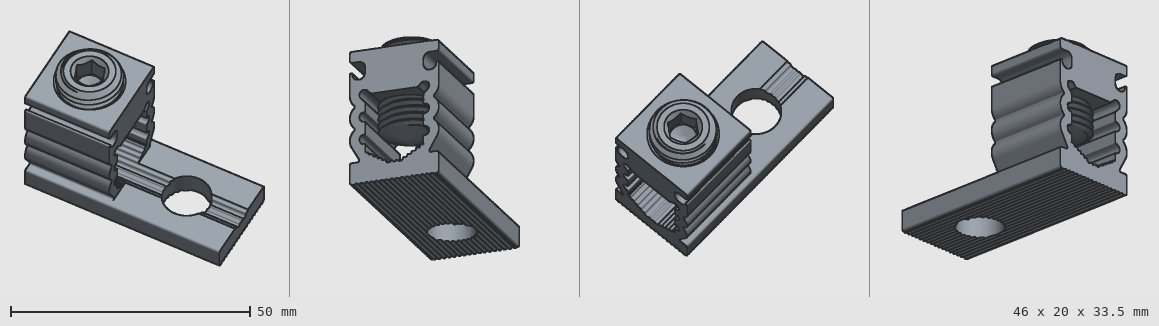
import cadquery as cq
import math

length = 46.0
body_length = 20.0
width = 20.0
half_width = width / 2
base_top = 5.0
body_top = 30.0
corner_radius = 0.5

sole_ridges = 17
sole_ridge_span = 18.12
tooth_pitch = sole_ridge_span / (sole_ridges - 1)
half_pitch = tooth_pitch / 2
tooth_rise = 0.155
sole_level = tooth_rise

bump_spacing = 5.0
lowest_bump_z = 10.0
bump_heights = [lowest_bump_z + i * bump_spacing for i in range(3)]
bump_radius = 3.0
bump_center_y = half_width - bump_radius
valley_radius = 0.4
undercut_angle = math.radians(30)
undercut_radius = 0.35

flange_bottom = 27.5
slot_wall_y = 6.55
slot_radius = 1.45
slot_floor_center_z = 25.0
lip_top = 25.15
lip_radius = 0.3

tunnel_half_width = slot_wall_y
tunnel_ceiling = bump_heights[2]
pocket_radius = 1.05
pocket_center_y = 6.75
groove_bottom = 4.0
floor_level = groove_bottom + tooth_rise
floor_slope = math.radians(30)
slope_start_y = 1.9
slope_start_z = 4.4
slope_half_waves = 9
wide_groove_flat_end_y = 1.35

mounting_hole_x = 33.0
mounting_hole_diameter = 10.5

screw_x = body_length / 2
screw_top = 33.45
thread_radius = 7.1
core_radius = 5.95
ten_turns = 15.0
thread_pitch = ten_turns / 10
thread_flank_angle = math.radians(30)
thread_crest_z = 31.35
thread_root_overlap = 0.07
screw_end_radius = 5.47
screw_end_angle = math.radians(31)
tip_z = 11.35
tip_angle = math.radians(20)
countersink_radius = 7.55

hex_across_flats = 5.95
hex_rotation = -10
socket_depth = 5.0
socket_mouth_radius = 4.0
socket_mouth_angle = math.radians(45)
socket_drill_radius = 2.9
socket_cone_depth = 1.4


def mirrored(solid):
    """Join a half body on the +Y side with its mirror image."""
    return solid.union(solid.mirror("XZ"))


def wave(path, start, angle, count, first_side):
    """Add alternating round ridges and grooves, each half a pitch long; returns the path and its end.

    first_side is +1 when the first arc bulges to the left of the direction of travel, else -1.
    """
    y, z = start
    along = (math.cos(angle), math.sin(angle))
    side = first_side
    for _ in range(count):
        mid = (
            y + along[0] * half_pitch / 2 - along[1] * tooth_rise * side,
            z + along[1] * half_pitch / 2 + along[0] * tooth_rise * side,
        )
        y += along[0] * half_pitch
        z += along[1] * half_pitch
        path = path.threePointArc(mid, (y, z))
        side = -side
    return path, (y, z)


def on_circle(center_y, center_z, radius, degrees):
    """Point (y, z) on a circle, at an angle from the +Y direction."""
    angle = math.radians(degrees)
    return center_y + radius * math.cos(angle), center_z + radius * math.sin(angle)


def half_base():
    """Base plate for y >= 0, without serrations on its sole."""
    return (
        cq.Workplane("YZ")
        .moveTo(0, sole_level)
        .lineTo(half_width - corner_radius, sole_level)
        .tangentArcPoint((half_width, sole_level + corner_radius), relative=False)
        .lineTo(half_width, base_top - corner_radius)
        .tangentArcPoint((half_width - corner_radius, base_top), relative=False)
        .lineTo(0, base_top)
        .close()
        .extrude(length)
    )


def base_plate():
    """Base plate with the serrated sole."""
    half_waves = 2 * sole_ridges - 1
    start_y = -half_waves * half_pitch / 2
    outline = cq.Workplane("YZ").moveTo(start_y, sole_level)
    outline, _ = wave(outline, (start_y, sole_level), 0, half_waves, -1)
    strip_top = base_top / 2
    strip = outline.lineTo(-start_y, strip_top).lineTo(start_y, strip_top).close().extrude(length)
    strip_room = cq.Workplane("XY").box(length, -2 * start_y, strip_top, centered=(False, True, False))
    return mirrored(half_base()).cut(strip_room).union(strip)


def half_body():
    """Clamp body above the base plate for y >= 0, without the tunnel."""
    undercut_degrees = math.degrees(undercut_angle)
    lower_tangent = on_circle(bump_center_y, bump_heights[0], bump_radius, -undercut_degrees)
    drop = lower_tangent[1] - base_top - undercut_radius * (1 + math.sin(undercut_angle))
    foot = (lower_tangent[0] - drop * math.tan(undercut_angle), lower_tangent[1] - drop)
    fillet_center_y = foot[0] + undercut_radius * math.cos(undercut_angle)

    valley_degrees = math.degrees(math.asin(bump_spacing / 2 / (bump_radius + valley_radius)))

    outline = (
        cq.Workplane("YZ")
        .moveTo(0, base_top)
        .lineTo(fillet_center_y, base_top)
        .threePointArc(
            (fillet_center_y - undercut_radius, base_top + undercut_radius),
            foot,
        )
        .lineTo(*lower_tangent)
    )
    for height in bump_heights[:-1]:
        outline = outline.threePointArc(
            (half_width, height),
            on_circle(bump_center_y, height, bump_radius, valley_degrees),
        ).tangentArcPoint(
            on_circle(bump_center_y, height + bump_spacing, bump_radius, -valley_degrees),
            relative=False,
        )
    slot_center_y = slot_wall_y + slot_radius
    lip_inner_y = slot_wall_y + 2 * slot_radius
    return (
        outline.tangentArcPoint((half_width, bump_heights[2]), relative=False)
        .lineTo(half_width, lip_top - lip_radius)
        .tangentArcPoint((half_width - lip_radius, lip_top), relative=False)
        .lineTo(lip_inner_y, lip_top)
        .lineTo(lip_inner_y, slot_floor_center_z)
        .threePointArc(
            (slot_center_y, slot_floor_center_z - slot_radius),
            (slot_wall_y, slot_floor_center_z),
        )
        .lineTo(slot_wall_y, flange_bottom - slot_radius)
        .tangentArcPoint((slot_center_y, flange_bottom), relative=False)
        .lineTo(half_width - corner_radius, flange_bottom)
        .tangentArcPoint((half_width, flange_bottom + corner_radius), relative=False)
        .lineTo(half_width, body_top - corner_radius)
        .tangentArcPoint((half_width - corner_radius, body_top), relative=False)
        .lineTo(0, body_top)
        .close()
        .extrude(body_length)
    )


def half_tunnel():
    """Cable tunnel for y >= 0, with its serrated V floor, running the whole length."""
    path = cq.Workplane("YZ").moveTo(0, tunnel_ceiling)

    groove_radius = ((half_pitch / 2) ** 2 + tooth_rise**2) / (2 * tooth_rise)
    groove_mid_y = half_pitch / 4
    groove_mid_z = groove_bottom + groove_radius - math.sqrt(groove_radius**2 - groove_mid_y**2)
    path = path.lineTo(0, groove_bottom).threePointArc(
        (groove_mid_y, groove_mid_z), (half_pitch / 2, floor_level)
    )
    path, _ = wave(path, (half_pitch / 2, floor_level), 0, 1, 1)
    path = (
        path.threePointArc((tooth_pitch - groove_mid_y, groove_mid_z), (tooth_pitch, groove_bottom))
        .lineTo(wide_groove_flat_end_y, groove_bottom)
        .tangentArcPoint((slope_start_y, slope_start_z), relative=False)
    )

    path, (end_y, end_z) = wave(path, (slope_start_y, slope_start_z), floor_slope, slope_half_waves, 1)
    wall_foot_z = end_z + (tunnel_half_width - end_y) * math.tan(floor_slope)
    path = path.lineTo(tunnel_half_width, wall_foot_z)

    mouth_half_height = pocket_radius + pocket_center_y - tunnel_half_width
    for height in bump_heights[:-1]:
        path = (
            path.lineTo(tunnel_half_width, height - mouth_half_height)
            .tangentArcPoint((pocket_center_y, height - pocket_radius), relative=False)
            .tangentArcPoint((pocket_center_y, height + pocket_radius), relative=False)
            .tangentArcPoint((tunnel_half_width, height + mouth_half_height), relative=False)
        )

    lower = on_circle(pocket_center_y, tunnel_ceiling, pocket_radius, -45)
    upper = on_circle(pocket_center_y, tunnel_ceiling, pocket_radius, 135)
    return (
        path.lineTo(tunnel_half_width, lower[1] - (lower[0] - tunnel_half_width))
        .lineTo(*lower)
        .threePointArc(on_circle(pocket_center_y, tunnel_ceiling, pocket_radius, 45), upper)
        .lineTo(upper[0] - (upper[1] - tunnel_ceiling), tunnel_ceiling)
        .close()
        .extrude(length)
    )


def countersink():
    """45 degree countersink around the screw in the top face of the body."""
    depth = countersink_radius - core_radius
    return cq.Workplane("XY").add(
        cq.Solid.makeCone(core_radius, countersink_radius, depth, pnt=cq.Vector(screw_x, 0, body_top - depth))
    )


def screw_ends():
    """Space between the conical tip and the bevelled upper end of the screw, on the Z axis."""
    radius = thread_radius + thread_pitch
    shoulder_z = tip_z + radius * math.tan(tip_angle)
    bevel_z = screw_top - (radius - screw_end_radius) * math.tan(screw_end_angle)
    return (
        cq.Workplane("XZ")
        .moveTo(0, tip_z)
        .lineTo(radius, shoulder_z)
        .lineTo(radius, bevel_z)
        .lineTo(screw_end_radius, screw_top)
        .lineTo(0, screw_top)
        .close()
        .revolve(360, (0, 0, 0), (0, 1, 0))
    )


def thread_ridge():
    """Right-hand triangular thread, longer than the screw at both ends."""
    turns_below = math.ceil((thread_crest_z - tip_z) / thread_pitch)
    turns_above = math.ceil((screw_top - thread_crest_z) / thread_pitch) + 1
    start_z = thread_crest_z - turns_below * thread_pitch
    helix_height = (turns_below + turns_above) * thread_pitch
    root_radius = core_radius - thread_root_overlap
    half_foot = (thread_radius - root_radius) * math.tan(thread_flank_angle)
    helix = cq.Wire.makeHelix(thread_pitch, helix_height, root_radius, center=cq.Vector(0, 0, start_z))
    return (
        cq.Workplane("XZ")
        .moveTo(root_radius, start_z - half_foot)
        .lineTo(thread_radius, start_z)
        .lineTo(root_radius, start_z + half_foot)
        .close()
        .sweep(cq.Workplane("XY").add(helix), isFrenet=True)
    )


def cut_hex_socket(part):
    """Cut a hexagon socket with a conical mouth and a conical bottom into the top of the screw."""
    corner_diameter = hex_across_flats / math.cos(math.radians(30))
    socket_bottom = screw_top - socket_depth
    hexagon = (
        cq.Workplane("XY")
        .workplane(offset=socket_bottom)
        .polygon(6, corner_diameter)
        .extrude(socket_depth)
        .rotate((0, 0, 0), (0, 0, 1), hex_rotation)
        .translate((screw_x, 0, 0))
    )
    mouth_depth = (socket_mouth_radius - socket_drill_radius) * math.tan(socket_mouth_angle)
    drill = (
        cq.Workplane("XZ")
        .moveTo(0, socket_bottom - socket_cone_depth)
        .lineTo(socket_drill_radius, socket_bottom)
        .lineTo(socket_drill_radius, screw_top - mouth_depth)
        .lineTo(socket_mouth_radius, screw_top)
        .lineTo(0, screw_top)
        .close()
        .revolve(360, (0, 0, 0), (0, 1, 0))
        .translate((screw_x, 0, 0))
    )
    return part.cut(hexagon).cut(drill)


def clamping_screw():
    """Threaded screw without its socket."""
    core = cq.Workplane("XY").circle(core_radius).extrude(screw_top + 2 * thread_pitch)
    screw = core.union(thread_ridge()).intersect(screw_ends())
    return screw.translate((screw_x, 0, 0))


mounting_hole = (
    cq.Workplane("XY")
    .center(mounting_hole_x, 0)
    .circle(mounting_hole_diameter / 2)
    .extrude(body_top)
)

clamp = base_plate().union(mirrored(half_body()))
clamp = clamp.cut(mirrored(half_tunnel())).cut(mounting_hole).cut(countersink())
result = cut_hex_socket(clamp.union(clamping_screw()))